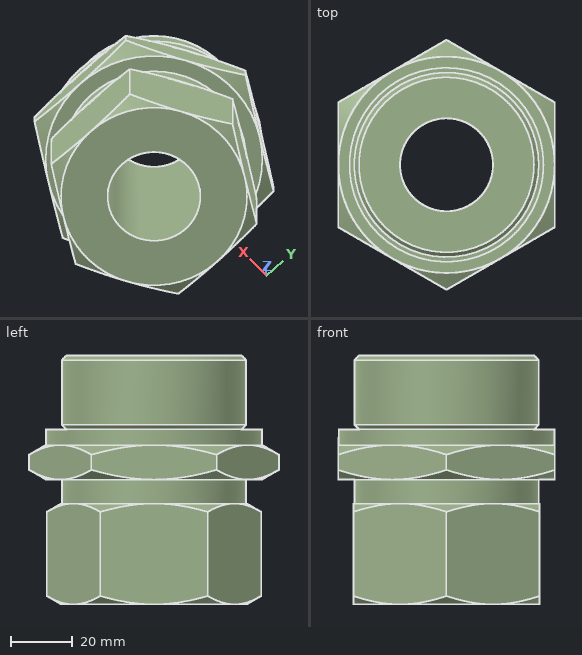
import cadquery as cq
import math

NUT_TOP = 32.6
COLLAR_BOTTOM = 40.3
COLLAR_TOP = 51.5
WASHER_TOP = 56.6
TOTAL_HEIGHT = 80.5

NUT_FLATS = 60.1
COLLAR_FLATS = 70.0
CHAMFER_ANGLE = 30.0

BORE_DIAMETER = 30.0
BODY_DIAMETER = 59.65
WASHER_DIAMETER = 69.9
RECESS_DIAMETER = 62.7
SPIGOT_FOOT_DIAMETER = 56.1
TOP_CHAMFER = 1.5
RECESS_DEPTH = 0.3
SPIGOT_BOTTOM = WASHER_TOP - RECESS_DEPTH
SPIGOT_CHAMFER = (BODY_DIAMETER - SPIGOT_FOOT_DIAMETER) / 2


def cylinder(diameter, bottom, top):
    return cq.Workplane("XY").workplane(offset=bottom).circle(diameter / 2).extrude(top - bottom)


def chamfered_hexagon(flats, bottom, top):
    """Hexagon with vertices on the Y axis and both ends turned to a shallow cone."""
    corner_diameter = flats / math.cos(math.radians(30))
    flat_radius = flats / 2
    corner_radius = corner_diameter / 2
    drop = (corner_radius - flat_radius) * math.tan(math.radians(CHAMFER_ANGLE))
    prism = (
        cq.Workplane("XY")
        .workplane(offset=bottom)
        .transformed(rotate=(0, 0, 90))
        .polygon(6, corner_diameter)
        .extrude(top - bottom)
    )
    turned_profile = [
        (0, bottom),
        (flat_radius, bottom),
        (corner_radius, bottom + drop),
        (corner_radius, top - drop),
        (flat_radius, top),
        (0, top),
    ]
    turned = cq.Workplane("XZ").polyline(turned_profile).close().revolve(360, (0, 0), (0, 1))
    return prism.intersect(turned)


nut = chamfered_hexagon(NUT_FLATS, 0, NUT_TOP)
neck = cylinder(BODY_DIAMETER, NUT_TOP, COLLAR_BOTTOM)
collar = chamfered_hexagon(COLLAR_FLATS, COLLAR_BOTTOM, COLLAR_TOP)

washer = cylinder(WASHER_DIAMETER, COLLAR_TOP, WASHER_TOP).cut(
    cylinder(RECESS_DIAMETER, SPIGOT_BOTTOM, WASHER_TOP)
)

spigot = (
    cylinder(BODY_DIAMETER, SPIGOT_BOTTOM, TOTAL_HEIGHT)
    .faces(">Z")
    .chamfer(TOP_CHAMFER)
    .faces("<Z")
    .chamfer(SPIGOT_CHAMFER)
)

bore = cylinder(BORE_DIAMETER, 0, TOTAL_HEIGHT)

result = nut.union(neck).union(collar).union(washer).union(spigot).cut(bore)